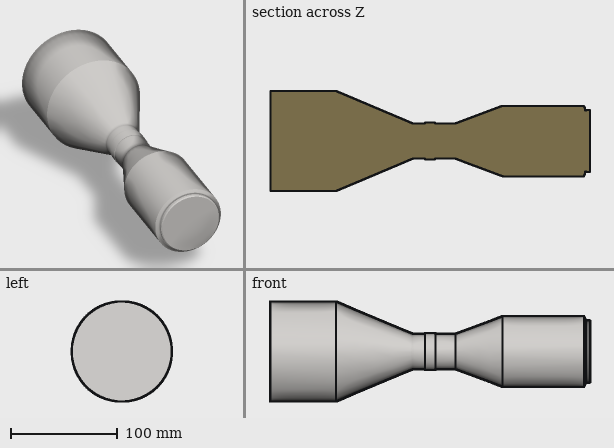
import cadquery as cq
import math

total_length = 299.2
head_end = 61.5
cone_corner = 133.0
collar_start = 144.5
collar_width = 10.0
neck_end = 173.2
barrel_start = 217.2
barrel_end = 293.2
shoulder_end = 294.7
rim_width = 3.5

head_radius = 47.0
neck_radius = 16.8
collar_radius = 17.5
barrel_radius = 33.2
shoulder_radius = 30.2
groove_radius = 28.7
rim_radius = 29.3

neck_blend_radius = 2.5
rim_chamfer = 1.0

collar_end = collar_start + collar_width
rim_start = total_length - rim_width

cone_angle = math.atan2(head_radius - neck_radius, cone_corner - head_end)
neck_start = cone_corner + neck_blend_radius * math.tan(cone_angle / 2)


def blend_point(angle):
    """Point on the blend arc at the given angle back from the neck."""
    x = neck_start - neck_blend_radius * math.sin(angle)
    radius = neck_radius + neck_blend_radius * (1 - math.cos(angle))
    return x, radius


result = (
    cq.Workplane("XY")
    .moveTo(0, 0)
    .lineTo(0, head_radius)
    .lineTo(head_end, head_radius)
    .lineTo(*blend_point(cone_angle))
    .threePointArc(blend_point(cone_angle / 2), (neck_start, neck_radius))
    .lineTo(collar_start, neck_radius)
    .lineTo(collar_start, collar_radius)
    .lineTo(collar_end, collar_radius)
    .lineTo(collar_end, neck_radius)
    .lineTo(neck_end, neck_radius)
    .lineTo(barrel_start, barrel_radius)
    .lineTo(barrel_end, barrel_radius)
    .lineTo(shoulder_end, shoulder_radius)
    .lineTo(shoulder_end, groove_radius)
    .lineTo(rim_start, groove_radius)
    .lineTo(rim_start, rim_radius)
    .lineTo(total_length - rim_chamfer, rim_radius)
    .lineTo(total_length, rim_radius - rim_chamfer)
    .lineTo(total_length, 0)
    .close()
    .revolve(360, (0, 0, 0), (1, 0, 0))
)